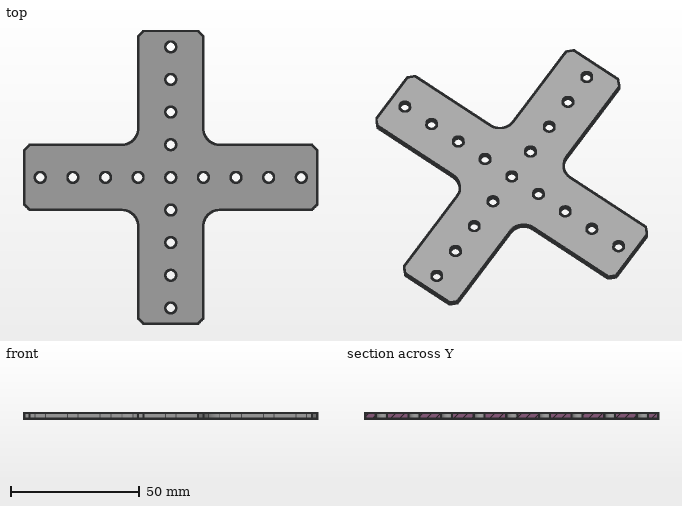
import cadquery as cq

span = 114.05
arm_width = 25.4
thickness = 2.29
tip_chamfer = 2.15
inner_radius = 6.35

hole_diameter = 4.14
hole_pitch = 12.7
holes_per_bar = 9


def bar(length_x, length_y):
    """One bar of the cross, with its four corners chamfered."""
    blank = cq.Workplane("XY").rect(length_x, length_y).extrude(thickness)
    return blank.edges("|Z").chamfer(tip_chamfer)


def cross_plate():
    """Two crossed bars with the four inner corners filleted."""
    plate = bar(span, arm_width).union(bar(arm_width, span))
    reach = arm_width / 2 + tip_chamfer
    inner_corners = cq.selectors.BoxSelector((-reach, -reach, -thickness), (reach, reach, 2 * thickness))
    return plate.edges("|Z").edges(inner_corners).fillet(inner_radius)


def hole_centres():
    """Hole row along each bar; the centre hole is listed once."""
    half_count = holes_per_bar // 2
    offsets = [i * hole_pitch for i in range(-half_count, half_count + 1)]
    along_x = [(offset, 0) for offset in offsets]
    along_y = [(0, offset) for offset in offsets if offset != 0]
    return along_x + along_y


hole_cutters = (
    cq.Workplane("XY")
    .pushPoints(hole_centres())
    .circle(hole_diameter / 2)
    .extrude(thickness)
)

result = cross_plate().cut(hole_cutters)